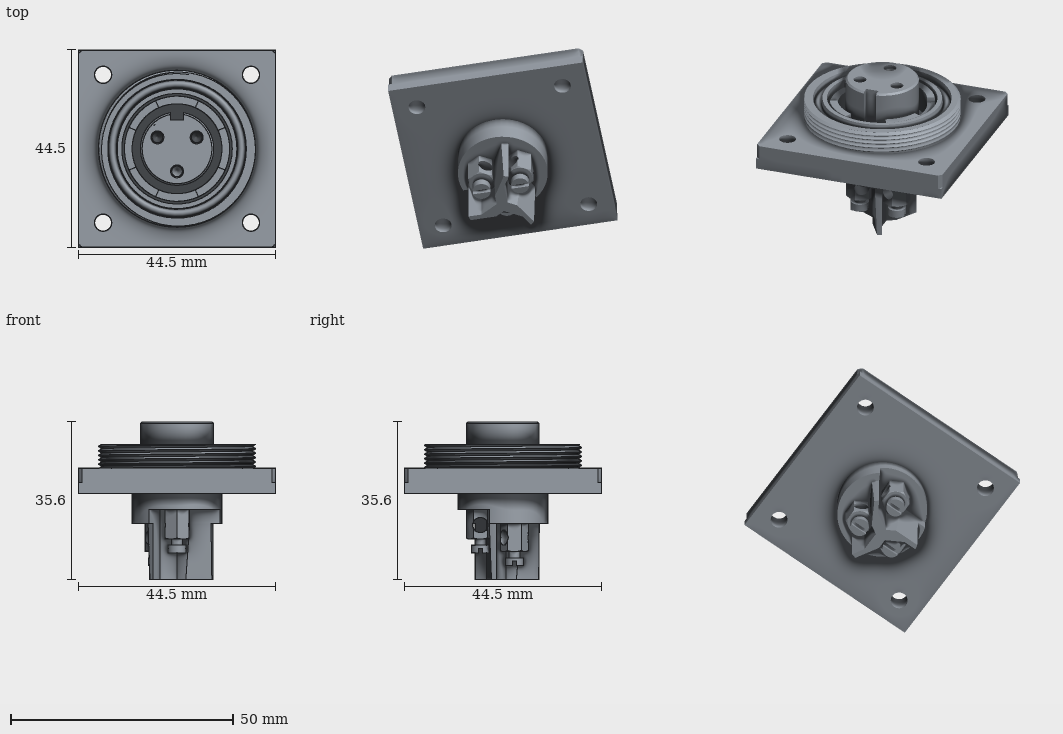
import cadquery as cq
import math


flange_side = 44.45
flange_height = 5.73
corner_chamfer = 0.85
corner_chamfer_depth = 3.24
mount_pitch = 33.3
mount_hole_diameter = 3.8

collar_top = 11.05
thread_radius = 17.68
thread_depth = 0.75
thread_pitch = 1.0
thread_crest_flat = 0.04
groove_overshoot = 0.0375
thread_root_drop = 0.45
nut_bore_radius = 12.45
insert_flange_floor = 3.0

seal_radius = 14.55
seal_section_radius = 0.9
seal_centre_height = 9.0
channel_lead_width = 0.17
channel_lead_depth = 0.9

nut_outer_radius = 11.85
nut_top = 10.75
nut_notch_depth = 1.2
nut_notch_angle = 48.0
nut_notch_count = 4

insert_top = 16.15
insert_bottom = insert_top - 35.56
core_radius = 8.25
core_chamfer = 0.4
insert_flange_top = 5.1
base_radius = 10.12
base_bottom = -6.77
front_seat_height = -3.62
keyway_width = 2.93
keyway_floor = 6.51

slot_apex_radius = 1.45
slot_wall_angle = 30.0
slot_wall_reach = 3.87
slot_side_angle = 60.0
slot_face_offset = 3.10
slot_face_draft = 2.3
clear_radius = 2 * base_radius

contact_circle_radius = 5.1
hex_across_flats = 5.5
hex_chamfer_angle = 30.0
front_hex_bottom = -10.26
rear_hex_bottom = -13.09
wire_hole_diameter = 3.4
wire_hole_height = 3.15
screw_neck_diameter = 2.5
screw_neck_length = 1.38
screw_head_diameter = 4.1
screw_head_height = 1.75
screw_slot_width = 0.9
screw_slot_depth = 1.0
socket_hole_radius = 1.45
socket_cone_radius = 1.2
front_socket_depth = 0.8

FRONT_ANGLE = -90.0
REAR_ANGLES = (30.0, 150.0)


def tan(angle):
    return math.tan(math.radians(angle))


def disc(radius, bottom, top):
    return cq.Workplane("XY").workplane(offset=bottom).circle(radius).extrude(top - bottom)


def at_contact(body, angle):
    """Turn a body made for the front contact to another contact's direction."""
    return body.rotate((0, 0, 0), (0, 0, 1), angle - FRONT_ANGLE)


def make_flange():
    flange = cq.Workplane("XY").rect(flange_side, flange_side).extrude(flange_height)
    corner_cuts = (
        cq.Workplane("XY")
        .workplane(offset=flange_height - corner_chamfer_depth)
        .rect(flange_side, flange_side, forConstruction=True)
        .vertices()
        .polygon(4, 2 * corner_chamfer)
        .extrude(corner_chamfer_depth)
    )
    flange = flange.cut(corner_cuts)
    mount_holes = (
        cq.Workplane("XY")
        .rect(mount_pitch, mount_pitch, forConstruction=True)
        .vertices()
        .circle(mount_hole_diameter / 2)
        .extrude(flange_height)
    )
    return flange.cut(mount_holes)


def make_threaded_collar():
    """Cylinder with a right-hand V groove, trimmed flat at both ends."""
    collar_turns = math.ceil((collar_top - flange_height) / thread_pitch)
    groove_start = collar_top - thread_root_drop - collar_turns * thread_pitch
    groove_length = collar_top + thread_pitch - groove_start
    root_radius = thread_radius - thread_depth
    half_opening = (thread_pitch - thread_crest_flat) / 2
    path = cq.Wire.makeHelix(thread_pitch, groove_length, root_radius)
    groove = (
        cq.Workplane("XZ")
        .moveTo(root_radius, 0)
        .lineTo(thread_radius + groove_overshoot, half_opening)
        .lineTo(thread_radius + groove_overshoot, -half_opening)
        .close()
        .sweep(cq.Workplane(obj=path), isFrenet=True)
        .translate((0, 0, groove_start))
    )
    collar = disc(thread_radius, flange_height, collar_top)
    return collar.cut(groove)


def make_channel():
    """Annular channel for the sealing ring, with tapered lead-in walls."""
    inner = seal_radius - seal_section_radius
    outer = seal_radius + seal_section_radius
    floor = seal_centre_height - seal_section_radius
    lead = collar_top - channel_lead_depth
    return (
        cq.Workplane("XZ")
        .moveTo(inner, floor)
        .lineTo(outer, floor)
        .lineTo(outer, lead)
        .lineTo(outer + channel_lead_width, collar_top)
        .lineTo(inner - channel_lead_width, collar_top)
        .lineTo(inner, lead)
        .close()
        .revolve(360, (0, 0, 0), (0, 1, 0))
    )


def make_shell():
    shell = make_flange().union(make_threaded_collar())
    shell = shell.cut(make_channel())
    shell = shell.cut(disc(base_radius, 0, collar_top))
    return shell.cut(disc(nut_bore_radius, insert_flange_floor, collar_top))


def make_sealing_ring():
    return (
        cq.Workplane("XZ")
        .center(seal_radius, seal_centre_height)
        .circle(seal_section_radius)
        .revolve(360, (-seal_radius, 0, 0), (-seal_radius, 1, 0))
    )


def make_ring_nut():
    nut = disc(nut_outer_radius, insert_flange_top, nut_top)
    nut = nut.cut(disc(base_radius, insert_flange_top, nut_top))
    half_width = clear_radius * tan(nut_notch_angle / 2)
    notch = (
        cq.Workplane("XY")
        .workplane(offset=nut_top - nut_notch_depth)
        .polyline([(0, 0), (clear_radius, -half_width), (clear_radius, half_width)])
        .close()
        .extrude(nut_notch_depth)
    )
    for index in range(nut_notch_count):
        nut = nut.cut(notch.rotate((0, 0, 0), (0, 0, 1), index * 360 / nut_notch_count))
    return nut


def slot_outline(height):
    """Cross-section of the front contact slot at a given height."""
    face = slot_face_offset - max(0, base_bottom - height) * tan(slot_face_draft)
    face_start = (face - slot_apex_radius) / tan(slot_wall_angle)
    wall_end = slot_apex_radius + slot_wall_reach * tan(slot_wall_angle)
    side_run = (clear_radius - wall_end) / tan(slot_side_angle)
    return [
        (0, -slot_apex_radius),
        (face_start, -face),
        (clear_radius, -face),
        (clear_radius, -clear_radius),
        (-slot_wall_reach - side_run, -clear_radius),
        (-slot_wall_reach, -wall_end),
    ]


def make_column_slot():
    """Front slot over the column below the base, with its drafted face."""
    return (
        cq.Workplane("XY")
        .workplane(offset=insert_bottom)
        .polyline(slot_outline(insert_bottom))
        .close()
        .workplane(offset=base_bottom - insert_bottom)
        .polyline(slot_outline(base_bottom))
        .close()
        .loft(ruled=True)
    )


def make_base_notch():
    """The front slot carried straight up into the base, to the higher seat."""
    return (
        cq.Workplane("XY")
        .workplane(offset=base_bottom)
        .polyline(slot_outline(base_bottom))
        .close()
        .extrude(front_seat_height - base_bottom)
    )


def make_insert_blank():
    core = disc(core_radius, insert_bottom, insert_top).faces(">Z").chamfer(core_chamfer)
    base = disc(base_radius, base_bottom, insert_flange_top)
    flange = disc(nut_bore_radius, insert_flange_floor, insert_flange_top)
    keyway = (
        cq.Workplane("XY")
        .workplane(offset=insert_flange_top)
        .center(0, keyway_floor + core_radius / 2)
        .rect(keyway_width, core_radius)
        .extrude(insert_top - insert_flange_top)
    )
    return core.cut(keyway).union(base).union(flange)


def make_terminal(hex_top, hex_bottom):
    """Hexagonal terminal of the front contact, one corner outward, cross-drilled for its wire."""
    corner_radius = hex_across_flats / math.sqrt(3)
    length = hex_top - hex_bottom
    chamfer_rise = (corner_radius - hex_across_flats / 2) * tan(hex_chamfer_angle)
    hexagon = (
        cq.Workplane("XY")
        .transformed(rotate=(0, 0, FRONT_ANGLE))
        .polygon(6, 2 * corner_radius)
        .extrude(length)
    )
    envelope = (
        cq.Workplane("XZ")
        .lineTo(hex_across_flats / 2, 0)
        .lineTo(corner_radius, chamfer_rise)
        .lineTo(corner_radius, length)
        .lineTo(0, length)
        .close()
        .revolve(360, (0, 0, 0), (0, 1, 0))
    )
    wire_hole = (
        cq.Workplane("YZ")
        .center(0, wire_hole_height)
        .circle(wire_hole_diameter / 2)
        .extrude(corner_radius, both=True)
    )
    terminal = hexagon.intersect(envelope).cut(wire_hole)
    return terminal.translate((0, -contact_circle_radius, hex_bottom))


def make_screw(hex_bottom, angle):
    """Clamp screw below a terminal; its driver slot runs along X."""
    head_top = hex_bottom - screw_neck_length
    head_bottom = head_top - screw_head_height
    neck = disc(screw_neck_diameter / 2, head_top, hex_bottom)
    head = disc(screw_head_diameter / 2, head_bottom, head_top)
    slot = (
        cq.Workplane("XY")
        .workplane(offset=head_bottom)
        .rect(screw_head_diameter, screw_slot_width)
        .extrude(screw_slot_depth)
    )
    x = contact_circle_radius * math.cos(math.radians(angle))
    y = contact_circle_radius * math.sin(math.radians(angle))
    return neck.union(head).cut(slot).translate((x, y, 0))


def make_socket(depth):
    """Front contact hole in the core: a bore with a conical recess in its floor."""
    floor = insert_top - depth
    return (
        cq.Workplane("XZ")
        .moveTo(0, insert_top)
        .lineTo(socket_hole_radius, insert_top)
        .lineTo(socket_hole_radius, floor)
        .lineTo(socket_cone_radius, floor)
        .lineTo(0, floor - socket_cone_radius)
        .close()
        .revolve(360, (0, 0, 0), (0, 1, 0))
        .translate((0, -contact_circle_radius, 0))
    )


def add_contact(insert, angle, seat, hex_bottom):
    socket_depth = front_socket_depth + front_hex_bottom - hex_bottom
    insert = insert.cut(at_contact(make_column_slot(), angle))
    insert = insert.cut(at_contact(make_socket(socket_depth), angle))
    insert = insert.union(at_contact(make_terminal(seat, hex_bottom), angle))
    return insert.union(make_screw(hex_bottom, angle))


def make_insert():
    insert = make_insert_blank().cut(make_base_notch())
    insert = add_contact(insert, FRONT_ANGLE, front_seat_height, front_hex_bottom)
    for angle in REAR_ANGLES:
        insert = add_contact(insert, angle, base_bottom, rear_hex_bottom)
    return insert


shell = make_shell()
sealing_ring = make_sealing_ring()
ring_nut = make_ring_nut()
insert = make_insert()

result = cq.Compound.makeCompound([shell.val(), sealing_ring.val(), ring_nut.val(), insert.val()])